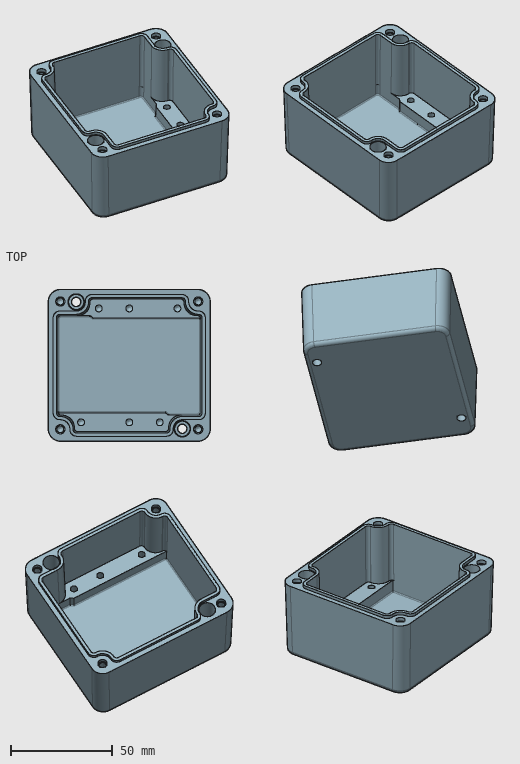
import cadquery as cq
import math

TOLERANCE = 0.001

LENGTH = 79.6
WIDTH = 74.6
BODY_HEIGHT = 39.9
RIM_HEIGHT = 1.6
TOTAL_HEIGHT = BODY_HEIGHT + RIM_HEIGHT
OUTER_CORNER_RADIUS = 6.1
OUTER_DRAFT_ANGLE = 1.2
BOTTOM_FILLET = 2.1

DRILL_POINT_ANGLE = 118.0

SCREW_X = 33.8
SCREW_Y = 31.4
SCREW_DIAMETER = 3.35
SCREW_DEPTH = 15.9
SCREW_RECESS_DIAMETER = 4.5
SCREW_RECESS_DEPTH = 2.0

MOUNT_X = -26.0
MOUNT_Y = 31.1
MOUNT_DIAMETER = 4.45
MOUNT_BORE_TOP_DIAMETER = 8.0
MOUNT_BORE_BOTTOM_DIAMETER = 7.5
MOUNT_BORE_FLOOR = 4.8

RIM_HALF_X = 37.3
RIM_HALF_Y = 34.8
NOTCH_Y = 26.7
RIM_CORNER_RADIUS = 3.3
RIM_THICKNESS = 1.6
SCREW_NOTCH_RADIUS = SCREW_Y - NOTCH_Y
SCREW_NOTCH_X = SCREW_X - SCREW_NOTCH_RADIUS
MOUNT_NOTCH_RADIUS = MOUNT_Y - NOTCH_Y
MOUNT_NOTCH_X = MOUNT_X + MOUNT_NOTCH_RADIUS

FLOOR_HEIGHT = 3.5
LEDGE_HEIGHT = 9.9
CAVITY_DRAFT_ANGLE = 1.2
CAVITY_CORNER_RADIUS = RIM_CORNER_RADIUS - RIM_THICKNESS
FLOOR_FILLET = 0.5

LEDGE_EDGE_Y = 23.3
LEDGE_STEP_START_X = -19.3
LEDGE_STEP_END_X = -17.75
LEDGE_HOLE_XS = (-15.0, 0.0, 23.65)
LEDGE_HOLE_Y = 27.9
LEDGE_HOLE_DIAMETER = 3.35
LEDGE_HOLE_DEPTH = 6.4


def with_half_turn(points):
    """The points followed by their copies turned half a turn about Z."""
    return points + [(-x, -y) for x, y in points]


def vertical_holes(points, diameter, top, depth):
    return cq.Workplane("XY", origin=(0, 0, top)).pushPoints(points).circle(diameter / 2).extrude(-depth)


def drilled_holes(points, diameter, top, depth):
    """Blind holes that end in a drill point below the full-diameter depth."""
    radius = diameter / 2
    tip_height = radius / math.tan(math.radians(DRILL_POINT_ANGLE / 2))
    holes = vertical_holes(points, diameter, top, depth)
    for x, y in points:
        tip = cq.Solid.makeCone(0, radius, tip_height, pnt=cq.Vector(x, y, top - depth - tip_height))
        holes = holes.union(cq.Workplane(obj=tip))
    return holes


def drift(depth, draft):
    """Sideways shift of a drafted wall over a depth."""
    return depth * math.tan(math.radians(draft))


def rounded_rectangle(length, width, radius):
    return cq.Sketch().rect(length, width).vertices().fillet(radius)


def make_body():
    shrink = 2 * drift(BODY_HEIGHT, OUTER_DRAFT_ANGLE)
    bottom = rounded_rectangle(LENGTH - shrink, WIDTH - shrink, OUTER_CORNER_RADIUS)
    top = rounded_rectangle(LENGTH, WIDTH, OUTER_CORNER_RADIUS)
    raised_top = top.moved(cq.Location(cq.Vector(0, 0, BODY_HEIGHT)))
    body = cq.Workplane("XY").placeSketch(bottom, raised_top).loft()
    return body.faces("<Z").edges().fillet(BOTTOM_FILLET)


def notched_prism(inset, corner_radius, top, depth, draft):
    """Prism running down from top over the notched rim outline moved inward by inset."""
    half_x = RIM_HALF_X - inset
    half_y = RIM_HALF_Y - inset
    notch_y = NOTCH_Y - inset
    mount_x = MOUNT_NOTCH_X + inset
    screw_x = SCREW_NOTCH_X - inset
    half_outline = [
        (-half_x, notch_y, corner_radius),
        (mount_x, notch_y, MOUNT_NOTCH_RADIUS + inset),
        (mount_x, half_y, corner_radius),
        (screw_x, half_y, corner_radius),
        (screw_x, notch_y, SCREW_NOTCH_RADIUS + inset),
        (half_x, notch_y, corner_radius),
    ]
    return rounded_prism(half_outline, top, depth, draft)


def ends_at_any(edge, points):
    ends = (edge.startPoint(), edge.endPoint())
    return any((end - point).Length < TOLERANCE for end in ends for point in points)


def rounded_prism(half_outline, top, depth, draft):
    """Drafted prism from half of its outline, given as (x, y, corner radius).

    Each corner keeps its radius over the whole depth; radius 0 leaves it sharp.
    """
    points = with_half_turn([(x, y) for x, y, _ in half_outline])
    radii = 2 * [radius for _, _, radius in half_outline]
    top_wire = cq.Wire.makePolygon([cq.Vector(x, y, top) for x, y in points], close=True)
    bottom_wire = top_wire.moved(cq.Location(cq.Vector(0, 0, -depth)))
    if draft:
        bottom_wire = bottom_wire.offset2D(-drift(depth, draft), "intersection")[0]
    prism = cq.Workplane(obj=cq.Solid.makeLoft([top_wire, bottom_wire], True))
    for radius in sorted(set(radii) - {0}):
        corners = [cq.Vector(x, y, top) for (x, y), r in zip(points, radii) if r == radius]
        edges = [edge for edge in prism.edges("not #Z").vals() if ends_at_any(edge, corners)]
        prism = prism.newObject(edges).fillet(radius)
    return prism


def make_floor_pocket():
    """Lower part of the cavity, between the two ledges."""
    wall_inset = RIM_THICKNESS + drift(TOTAL_HEIGHT - LEDGE_HEIGHT, CAVITY_DRAFT_ANGLE)
    half_x = RIM_HALF_X - wall_inset
    wall_y = NOTCH_Y - wall_inset
    half_outline = [
        (-half_x, wall_y, CAVITY_CORNER_RADIUS),
        (LEDGE_STEP_START_X, wall_y, 0),
        (LEDGE_STEP_END_X, LEDGE_EDGE_Y, 0),
        (half_x, LEDGE_EDGE_Y, 0),
    ]
    pocket = rounded_prism(half_outline, LEDGE_HEIGHT, LEDGE_HEIGHT - FLOOR_HEIGHT, CAVITY_DRAFT_ANGLE)
    return pocket.faces("<Z").edges().fillet(FLOOR_FILLET)


def make_cavity():
    depth = TOTAL_HEIGHT - LEDGE_HEIGHT
    upper = notched_prism(RIM_THICKNESS, CAVITY_CORNER_RADIUS, TOTAL_HEIGHT, depth, CAVITY_DRAFT_ANGLE)
    return upper.union(make_floor_pocket())


def make_screw_holes():
    corners = with_half_turn([(SCREW_X, SCREW_Y), (-SCREW_X, SCREW_Y)])
    holes = drilled_holes(corners, SCREW_DIAMETER, BODY_HEIGHT, SCREW_DEPTH)
    return holes.union(vertical_holes(corners, SCREW_RECESS_DIAMETER, BODY_HEIGHT, SCREW_RECESS_DEPTH))


def make_mounting_holes():
    points = with_half_turn([(MOUNT_X, MOUNT_Y)])
    holes = vertical_holes(points, MOUNT_DIAMETER, BODY_HEIGHT, BODY_HEIGHT)
    for x, y in points:
        bore = cq.Solid.makeCone(
            MOUNT_BORE_BOTTOM_DIAMETER / 2,
            MOUNT_BORE_TOP_DIAMETER / 2,
            BODY_HEIGHT - MOUNT_BORE_FLOOR,
            pnt=cq.Vector(x, y, MOUNT_BORE_FLOOR),
        )
        holes = holes.union(cq.Workplane(obj=bore))
    return holes


def make_ledge_holes():
    points = with_half_turn([(x, LEDGE_HOLE_Y) for x in LEDGE_HOLE_XS])
    return drilled_holes(points, LEDGE_HOLE_DIAMETER, LEDGE_HEIGHT, LEDGE_HOLE_DEPTH)


result = (
    make_body()
    .union(notched_prism(0, RIM_CORNER_RADIUS, TOTAL_HEIGHT, RIM_HEIGHT, 0))
    .cut(make_cavity())
    .cut(make_screw_holes())
    .cut(make_mounting_holes())
    .cut(make_ledge_holes())
)